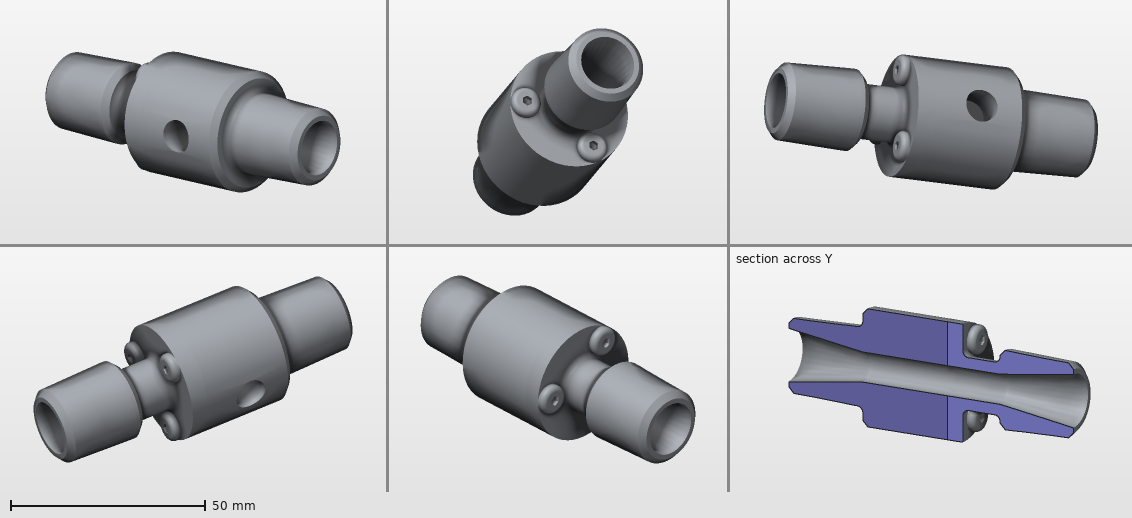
import cadquery as cq
import math


end_length = 22.225
pipe_diameter = 21.34
straight_land = 1.0
edge_size = 1.5875
taper_per_length = 1 / 16
bore_diameter = 7.94
mouth_diameter = 14.28
mouth_depth = end_length

total_length = 85.65
flange_diameter = 31.75
flange_thickness = 4.7625
neck_diameter = 14.28

drum_length = 25.4
port_diameter = 8.61
port_floor_gap = 2.0

screw_count = 3
head_diameter = 7.92
head_height = 2.2
head_round = 1.38
shank_diameter = 4.17
shank_length = 9.525
socket_width = 2.38
socket_depth = 1.25
socket_tip_angle = 118

shoulder_x = total_length - end_length
joint_x = shoulder_x - drum_length
flange_x = joint_x - flange_thickness
port_x = joint_x + drum_length / 2

drum_radius = flange_diameter / 2
pipe_radius = pipe_diameter / 2
neck_radius = neck_diameter / 2
bore_radius = bore_diameter / 2
mouth_radius = mouth_diameter / 2
bolt_circle_radius = drum_radius - head_diameter / 2

taper_end = end_length - edge_size - straight_land
tip_radius = pipe_radius - (taper_end - edge_size) * taper_per_length / 2
end_face_radius = pipe_radius - taper_end * taper_per_length / 2 - edge_size

arc_middle = edge_size * (1 - math.sqrt(0.5))


def revolve_about_x(outline):
    return outline.close().revolve(360, (0, 0, 0), (1, 0, 0))


def bore_mouth(face_x, inward):
    """Conical mouth that narrows from an end face to the bore."""
    outline = (
        cq.Workplane("XY")
        .moveTo(face_x, 0)
        .lineTo(face_x, mouth_radius)
        .lineTo(face_x + inward * mouth_depth, bore_radius)
        .lineTo(face_x + inward * mouth_depth, 0)
    )
    return revolve_about_x(outline)


def bore(start_x, end_x):
    return cq.Workplane("YZ", origin=(start_x, 0, 0)).circle(bore_radius).extrude(end_x - start_x)


def at_screw(shape, index):
    """Moves a shape from the X axis to a screw place; its X = 0 lands on the flange face.

    The first screw lies toward +Y and the others are evenly spaced around the axis.
    """
    angle = 2 * math.pi * index / screw_count
    return shape.translate(
        (flange_x, bolt_circle_radius * math.cos(angle), bolt_circle_radius * math.sin(angle))
    )


def screw_clearance():
    """Shank hole, and a seat that keeps the head clear of the neck fillet."""
    shank_hole = cq.Workplane("YZ").circle(shank_diameter / 2).extrude(shank_length)
    head_seat = cq.Workplane("YZ").circle(head_diameter / 2).extrude(-head_height)
    return shank_hole.union(head_seat)


def cut_screw_holes(body):
    for index in range(screw_count):
        body = body.cut(at_screw(screw_clearance(), index))
    return body


def make_rotor():
    root_radius = neck_radius + edge_size
    outline = (
        cq.Workplane("XY")
        .moveTo(0, 0)
        .lineTo(0, end_face_radius)
        .lineTo(edge_size, tip_radius)
        .lineTo(taper_end, pipe_radius)
        .lineTo(end_length - edge_size, pipe_radius)
        .lineTo(end_length, pipe_radius - edge_size)
        .lineTo(end_length, root_radius)
        .threePointArc(
            (end_length + arc_middle, neck_radius + arc_middle),
            (end_length + edge_size, neck_radius),
        )
        .lineTo(flange_x - edge_size, neck_radius)
        .threePointArc(
            (flange_x - arc_middle, neck_radius + arc_middle),
            (flange_x, root_radius),
        )
        .lineTo(flange_x, drum_radius)
        .lineTo(joint_x, drum_radius)
        .lineTo(joint_x, 0)
    )
    body = revolve_about_x(outline)
    body = body.cut(bore(0, joint_x)).cut(bore_mouth(0, 1))
    return cut_screw_holes(body)


def side_port():
    floor_y = -(bore_radius + port_floor_gap)
    return (
        cq.Workplane("XZ", origin=(port_x, floor_y, 0))
        .circle(port_diameter / 2)
        .extrude(drum_radius + floor_y)
    )


def make_housing():
    outline = (
        cq.Workplane("XY")
        .moveTo(joint_x, 0)
        .lineTo(joint_x, drum_radius)
        .lineTo(shoulder_x - edge_size, drum_radius)
        .lineTo(shoulder_x, drum_radius - edge_size)
        .lineTo(shoulder_x, pipe_radius + edge_size)
        .threePointArc(
            (shoulder_x + arc_middle, pipe_radius + arc_middle),
            (shoulder_x + edge_size, pipe_radius),
        )
        .lineTo(total_length - taper_end, pipe_radius)
        .lineTo(total_length - edge_size, tip_radius)
        .lineTo(total_length, end_face_radius)
        .lineTo(total_length, 0)
    )
    body = revolve_about_x(outline)
    body = body.cut(bore(joint_x, total_length)).cut(bore_mouth(total_length, -1))
    body = body.cut(side_port())
    return cut_screw_holes(body)


def hex_socket():
    """Hexagonal socket with a conical floor, open at the top of the head."""
    corners_to_z = 30
    corner_radius = socket_width / math.sqrt(3)
    tip_height = corner_radius / math.tan(math.radians(socket_tip_angle / 2))
    hexagon = (
        cq.Workplane("YZ", origin=(-head_height, 0, 0))
        .polygon(6, 2 * corner_radius)
        .extrude(socket_depth + tip_height)
        .rotate((0, 0, 0), (1, 0, 0), corners_to_z)
    )
    drill_outline = (
        cq.Workplane("XY")
        .moveTo(-head_height, 0)
        .lineTo(-head_height, corner_radius)
        .lineTo(-head_height + socket_depth, corner_radius)
        .lineTo(-head_height + socket_depth + tip_height, 0)
    )
    return hexagon.intersect(revolve_about_x(drill_outline))


def make_screw(index):
    head = (
        cq.Workplane("YZ")
        .circle(head_diameter / 2)
        .extrude(-head_height)
        .faces("<X")
        .edges()
        .fillet(head_round)
    )
    shank = cq.Workplane("YZ").circle(shank_diameter / 2).extrude(shank_length)
    return at_screw(head.union(shank).cut(hex_socket()), index)


rotor = make_rotor()
housing = make_housing()
screws = [make_screw(index) for index in range(screw_count)]

result = cq.Compound.makeCompound(
    [rotor.val(), housing.val(), *[screw.val() for screw in screws]]
)